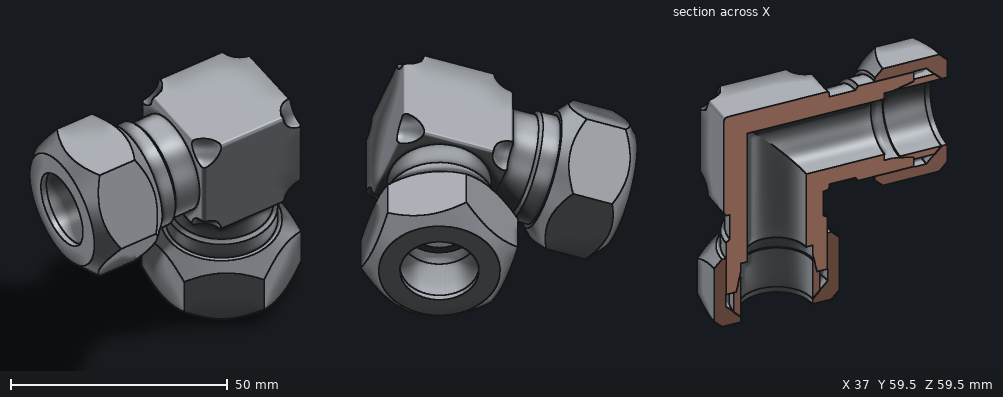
import cadquery as cq
import math

PORT_TURNS = (90, 180)

block_size = 27.0
edge_fillet = 1.0
corner_scallop_radius = 5.0

tube_radius = 9.1
bore_radius = 7.5

neck_radius = 12.0
collar_radius = 13.0
collar_start = 20.0
collar_lead_in = 0.75
collar_end = 35.0
tube_stop = 27.5

nut_across_flats = 32.0
nut_start = 25.0
nut_end = 43.5
nut_face_radius = 14.0
nut_lip = 1.5

ring_length = 10.6
ring_nose_wall = 0.4
ring_body_radius = 11.0
seat_slope = math.tan(math.radians(12))

ring_tail = nut_end - nut_lip
ring_nose = ring_tail - ring_length
ring_nose_radius = tube_radius + ring_nose_wall
seat_start = ring_nose - ring_nose_wall / seat_slope
seat_mouth_radius = tube_radius + (collar_end - seat_start) * seat_slope


def revolve_about_z(points):
    """Turn a closed (radius, height) outline into a solid about the Z axis."""
    return cq.Workplane("XZ").polyline(points).close().revolve(360, (0, 0, 0), (0, 1, 0))


def turn_to_port(solid, angle):
    return solid.rotate((0, 0, 0), (1, 0, 0), angle)


def make_block():
    """Cube with rounded edges and a spherical scallop at each corner."""
    cube = cq.Workplane("XY").box(block_size, block_size, block_size)
    corners = [vertex.Center() for vertex in cube.vertices().vals()]
    block = cube.edges().fillet(edge_fillet)
    for corner in corners:
        outward_angle = math.degrees(math.atan2(corner.y, corner.x))
        ball = cq.Workplane("XY").sphere(corner_scallop_radius).rotate((0, 0, 0), (0, 0, 1), outward_angle)
        block = block.cut(ball.translate(corner.toTuple()))
    return block


def make_neck():
    """Solid neck and collar, reaching from the block centre to the collar mouth."""
    return revolve_about_z([
        (0, 0),
        (neck_radius, 0),
        (neck_radius, collar_start),
        (collar_radius, collar_start + collar_lead_in),
        (collar_radius, collar_end),
        (0, collar_end),
    ])


def make_socket():
    """Tube socket with the conical seat at its mouth."""
    return revolve_about_z([
        (0, tube_stop),
        (tube_radius, tube_stop),
        (tube_radius, seat_start),
        (seat_mouth_radius, collar_end),
        (0, collar_end),
    ])


def make_elbow_bore():
    """Flow passage that turns through a mitred corner at the block centre."""
    path = cq.Workplane("YZ").polyline([(-tube_stop, 0), (0, 0), (0, -tube_stop)])
    start = cq.Workplane("XZ", origin=(0, -tube_stop, 0))
    return start.circle(bore_radius).sweep(path, transition="right")


def make_body():
    body = make_block()
    for angle in PORT_TURNS:
        body = body.union(turn_to_port(make_neck(), angle))
    for angle in PORT_TURNS:
        body = body.cut(turn_to_port(make_socket(), angle))
    return body.cut(make_elbow_bore())


def make_nut():
    """Hex nut with 45 degree crowned ends, threaded bore and conical ring seat."""
    across_corners = nut_across_flats / math.cos(math.radians(30))
    nut_length = nut_end - nut_start
    crown_radius = nut_face_radius + nut_length / 2
    crown_middle = (nut_start + nut_end) / 2
    hexagon = (
        cq.Workplane("XY", origin=(0, 0, nut_start))
        .polygon(6, across_corners)
        .extrude(nut_length)
    )
    crown = revolve_about_z([
        (0, nut_start),
        (nut_face_radius, nut_start),
        (crown_radius, crown_middle),
        (nut_face_radius, nut_end),
        (0, nut_end),
    ])
    opening = revolve_about_z([
        (0, nut_start),
        (collar_radius, nut_start),
        (collar_radius, ring_tail - (collar_radius - tube_radius)),
        (tube_radius, ring_tail),
        (tube_radius, nut_end),
        (0, nut_end),
    ])
    return hexagon.intersect(crown).cut(opening)


def make_cutting_ring():
    """Ring with a 24 degree nose in the collar seat and a 45 degree tail against the nut."""
    return revolve_about_z([
        (tube_radius, ring_nose),
        (ring_nose_radius, ring_nose),
        (seat_mouth_radius, collar_end),
        (ring_body_radius, collar_end),
        (ring_body_radius, ring_tail - (ring_body_radius - tube_radius)),
        (tube_radius, ring_tail),
    ])


body = make_body()
nuts = [turn_to_port(make_nut(), angle) for angle in PORT_TURNS]
cutting_rings = [turn_to_port(make_cutting_ring(), angle) for angle in PORT_TURNS]

solids = body.solids().vals()
for nut in nuts:
    solids += nut.solids().vals()
for ring in cutting_rings:
    solids += ring.solids().vals()
result = cq.Compound.makeCompound(solids)